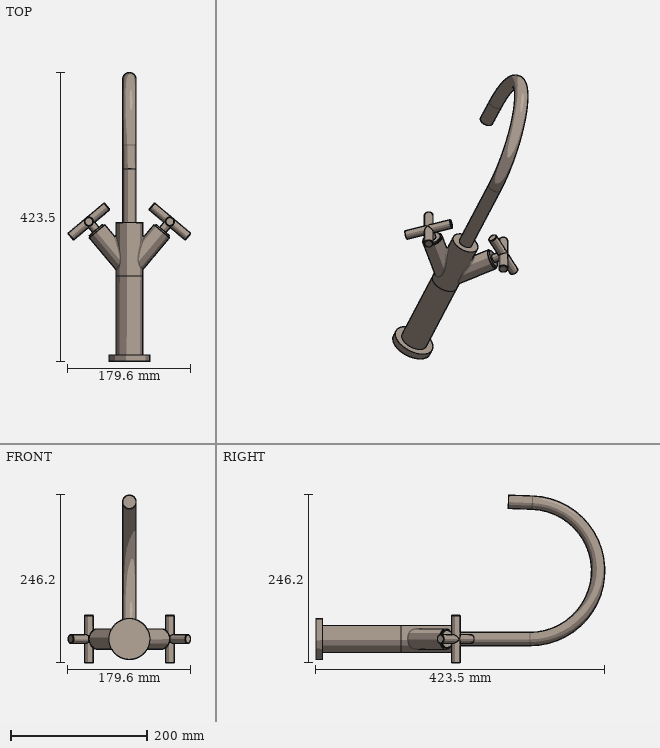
import cadquery as cq
import math

overall_length = 423.5
flange_diameter = 60.0
flange_thickness = 9.7
column_diameter = 40.0
lower_column_end = 125.0
upper_column_end = 203.3

spout_diameter = 20.0
bend_radius = 100.0
outlet_tilt = 2.0
outlet_length = 35.0
bend_start = overall_length - bend_radius - spout_diameter / 2

branch_angle = 40.0
branch_origin = 134.2
branch_diameter = 30.0
branch_root = 4.2
branch_blend_radius = 1.3
cap_diameter = 26.0
cap_thickness = 2.5

handle_distance = 92.5
stem_length = 16.0
stem_diameter = 12.3
bar_diameter = 13.0
bar_length = 70.0
bar_chamfer = 1.0
cap_end = handle_distance - stem_length
branch_end = cap_end - cap_thickness

SIDES = (-1, 1)
Y_AXIS = cq.Vector(0, 1, 0)
Z_AXIS = cq.Vector(0, 0, 1)


def rod(start, direction, length, diameter):
    """Solid cylinder growing from start along direction."""
    return cq.Workplane(cq.Solid.makeCylinder(diameter / 2, length, start, direction))


def column_section(start_y, end_y, diameter):
    """Round section of the column between two stations on the Y axis."""
    return rod(cq.Vector(0, start_y, 0), Y_AXIS, end_y - start_y, diameter)


def make_spout():
    """Tube swept along a straight neck, a near half-turn bend and a straight outlet."""
    sweep = math.radians(180 - outlet_tilt)

    def bend_point(angle):
        return (bend_start + bend_radius * math.sin(angle), bend_radius * (1 - math.cos(angle)))

    bend_end = bend_point(sweep)
    outlet_end = (
        bend_end[0] + outlet_length * math.cos(sweep),
        bend_end[1] + outlet_length * math.sin(sweep),
    )
    path = (
        cq.Workplane("YZ")
        .moveTo(upper_column_end, 0)
        .lineTo(bend_start, 0)
        .threePointArc(bend_point(sweep / 2), bend_end)
        .lineTo(*outlet_end)
    )
    profile = cq.Workplane("XZ", origin=(0, upper_column_end, 0)).circle(spout_diameter / 2)
    return profile.sweep(path)


def branch_direction(side):
    """Unit vector along the branch axis; side is -1 for -X and +1 for +X."""
    angle = math.radians(branch_angle)
    return cq.Vector(side * math.sin(angle), math.cos(angle), 0)


def branch_point(side, distance):
    """Point on the branch axis at a distance from the column axis."""
    return cq.Vector(0, branch_origin, 0) + branch_direction(side) * distance


def make_valve_body():
    """Upper column with both branches, blended along the lines where they meet."""
    body = column_section(lower_column_end, upper_column_end, column_diameter)
    for side in SIDES:
        root = branch_point(side, branch_root)
        branch = rod(root, branch_direction(side), branch_end - branch_root, branch_diameter)
        body = body.union(branch)
    return body.edges("not (%CIRCLE or %LINE)").fillet(branch_blend_radius)


def make_cap(side):
    """Thin disc closing the end of a branch."""
    return rod(branch_point(side, branch_end), branch_direction(side), cap_thickness, cap_diameter)


def make_handle(side):
    """Stem carrying two crossed bars, one along Z and one in the XY plane."""
    handle = rod(branch_point(side, cap_end), branch_direction(side), stem_length, stem_diameter)
    center = branch_point(side, handle_distance)
    for direction in (Z_AXIS, branch_direction(side).cross(Z_AXIS)):
        bar = rod(center - direction * (bar_length / 2), direction, bar_length, bar_diameter)
        handle = handle.union(bar.edges("%CIRCLE").chamfer(bar_chamfer))
    return handle


flange = column_section(0, flange_thickness, flange_diameter)
lower_column = column_section(flange_thickness, lower_column_end, column_diameter)
valve_body = make_valve_body()
spout = make_spout()

caps = []
handles = []
for side in SIDES:
    caps.append(make_cap(side).val())
    handles.append(make_handle(side).val())

result = cq.Compound.makeCompound(
    [flange.val(), lower_column.val(), valve_body.val(), spout.val(), *caps, *handles]
)